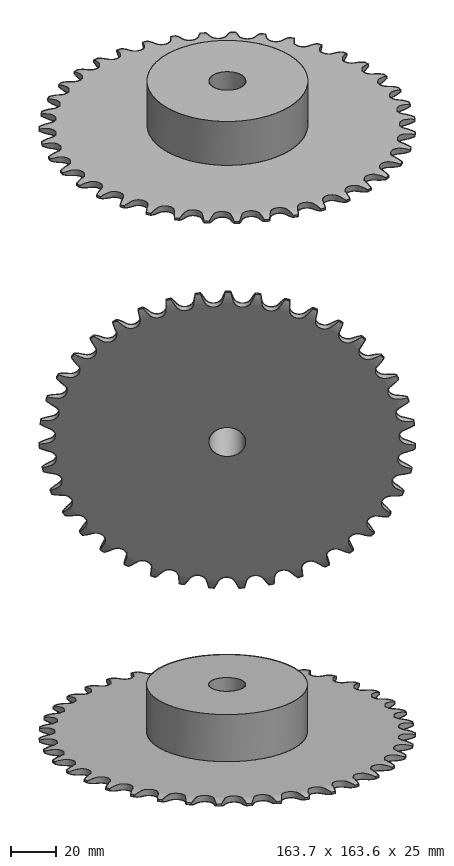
import cadquery as cq
import math


overall_width = 163.7
overall_height = 25.0
plate_thickness = 3.0
hub_diameter = 70.0
bore_diameter = 16.0

tooth_count = 39
chain_pitch = 12.7
seat_radius = 4.1
seat_half_angle = 69.0
tip_half_angle = 0.8

relief_length = 5.0
relief_depth = 1.0

tooth_angle = 360 / tooth_count
pitch_radius = chain_pitch / 2 / math.sin(math.radians(tooth_angle / 2))
widest_corner_angle = tooth_angle / 4 - tip_half_angle
outer_radius = overall_width / 2 / math.cos(math.radians(widest_corner_angle))


def make_blank():
    """Disc with a tangent arc thinning each face towards the rim."""
    relief_start = outer_radius - relief_length
    arc_radius = (relief_length**2 + relief_depth**2) / (2 * relief_depth)
    mid_angle = math.asin(relief_length / arc_radius) / 2
    mid_radius = relief_start + arc_radius * math.sin(mid_angle)
    mid_depth = arc_radius * (1 - math.cos(mid_angle))
    return (
        cq.Workplane("XZ")
        .lineTo(relief_start, 0)
        .threePointArc((mid_radius, mid_depth), (outer_radius, relief_depth))
        .lineTo(outer_radius, plate_thickness - relief_depth)
        .threePointArc((mid_radius, plate_thickness - mid_depth), (relief_start, plate_thickness))
        .lineTo(0, plate_thickness)
        .close()
        .revolve(360, (0, 0, 0), (0, 1, 0))
    )


def make_gap():
    """Cutter for the tooth gap centred on +Y: round roller seat and straight flanks."""
    seat_angle = math.radians(seat_half_angle)
    seat_x = seat_radius * math.sin(seat_angle)
    seat_y = pitch_radius - seat_radius * math.cos(seat_angle)
    corner_angle = math.radians(tooth_angle / 2 - tip_half_angle)
    corner_x = outer_radius * math.sin(corner_angle)
    corner_y = outer_radius * math.cos(corner_angle)
    end_x = 2 * corner_x - seat_x
    end_y = 2 * corner_y - seat_y
    return (
        cq.Workplane("XY")
        .moveTo(-end_x, end_y)
        .lineTo(-seat_x, seat_y)
        .threePointArc((0, pitch_radius - seat_radius), (seat_x, seat_y))
        .lineTo(end_x, end_y)
        .close()
        .extrude(plate_thickness)
    )


def cut_teeth(blank):
    gap = make_gap()
    for index in range(tooth_count):
        blank = blank.cut(gap.rotate((0, 0, 0), (0, 0, 1), index * tooth_angle))
    return blank


plate = cut_teeth(make_blank())
hub = cq.Workplane("XY").circle(hub_diameter / 2).extrude(overall_height)
bore = cq.Workplane("XY").circle(bore_diameter / 2).extrude(overall_height)
result = plate.union(hub).cut(bore)